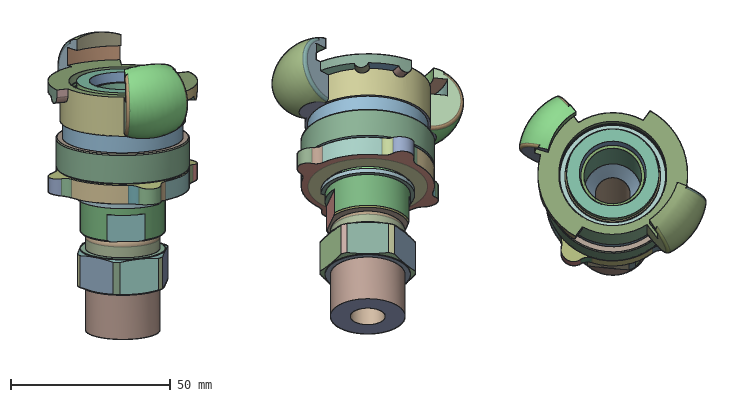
import cadquery as cq
import math

tail_dia = 23.5
nut_bottom = 15.1
nut_top = 26.4
nut_flats = 27.0
nut_corner_dia = 30.0
nut_face_dia = 26.8
nut_bevel_angle = 15
nut_washer_height = 0.3
collar_top = 32.0
collar_fillet = 1.8

body_dia = 26.8
body_chamfer = 0.5
flat_distance = 12.0
flat_top = 40.8
flat_angle = 17.5

groove_dia = tail_dia
ring_dia = 29.5
ring_bottom = 43.4
ring_top = 44.9
ring_end_y = 7.0

wheel_bottom = 46.2
wheel_top = 52.9
wheel_dia = 41.9
lobe_radius = 4.0
lobe_count = 4
wheel_face_dia = 37.5
wheel_edge_drop = 0.8

sleeve_dia = 42.0
sleeve_top = 62.7
sleeve_chamfer = 0.4
neck_dia = 38.0
head_bottom = 68.3
head_top = 81.0
head_dia = 39.6

lug_dia = 47.1
lug_thickness = 3.2
lug_end_x = 2.4
rib_dia = 4.8
rib_bottom = 76.2
rib_spacing = 35

overall_length = 91.6
claw_span = 62.9
claw_reach = claw_span / 2
claw_radius = 12.1
claw_crown_radius = 22.0
claw_side_angle = 18
claw_side_offset = 1.2
claw_edge_fillet = 1.1
claw_root_x = 17.4
claw_ridge_x = 22.7
claw_tip_bore_dia = 41.9
claw_slot_dia = 50.9
claw_slot_top = 86.8

seal_dia = 29.0
seal_base_dia = 30.0
groove_mouth_dia = 33.9
groove_base_dia = 33.2
groove_step_depth = 2.75
groove_depth = 3.7
seal_mouth_dia = 21.0
seal_seat_dia = 20.0
seal_seat_depth = 3.1
bore_dia = 18.0
funnel_top = 58.6
funnel_bottom = 54.9
through_dia = 11.0


def cylinder(dia, bottom, top):
    return cq.Workplane("XY").workplane(offset=bottom).circle(dia / 2).extrude(top - bottom)


def turned(outline):
    """Solid of revolution around Z from (radius, height) points."""
    return cq.Workplane("XZ").polyline(outline).close().revolve(360, (0, 0), (0, 1))


def bevelled_disc(face_dia, outer_dia, bottom, top, drop):
    """Disc whose two end faces slope down from face_dia to outer_dia."""
    face_r = face_dia / 2
    outer_r = outer_dia / 2
    outline = [(0, bottom), (face_r, bottom), (outer_r, bottom + drop),
               (outer_r, top - drop), (face_r, top), (0, top)]
    return turned(outline)


def with_opposite(solid):
    """The solid together with its copy half a turn around Z."""
    return solid.union(solid.rotate((0, 0, 0), (0, 0, 1), 180))


def make_tail():
    tail = cylinder(tail_dia, 0, collar_top).faces(">Z").edges().fillet(collar_fillet)
    across_corners = nut_flats / math.cos(math.radians(30))
    hexagon = (cq.Workplane("XY").workplane(offset=nut_bottom)
               .polygon(6, across_corners).extrude(nut_top - nut_bottom)
               .rotate((0, 0, 0), (0, 0, 1), 30))
    bevel_drop = (nut_corner_dia - nut_face_dia) / 2 * math.tan(math.radians(nut_bevel_angle))
    envelope = bevelled_disc(nut_face_dia, nut_corner_dia, nut_bottom, nut_top, bevel_drop)
    washer_faces = cylinder(nut_face_dia, nut_bottom - nut_washer_height, nut_top + nut_washer_height)
    return tail.union(hexagon.intersect(envelope)).union(washer_faces)


def make_body():
    body = cylinder(body_dia, collar_top, wheel_bottom).faces("<Z").chamfer(body_chamfer)
    flat_height = flat_top - collar_top
    flat = (cq.Workplane("XY")
            .box(body_dia, body_dia, flat_height, centered=(False, True, False))
            .translate((flat_distance, 0, collar_top))
            .rotate((0, 0, 0), (0, 0, 1), -flat_angle))
    body = body.cut(with_opposite(flat))
    groove = cylinder(body_dia, ring_bottom, ring_top).cut(cylinder(groove_dia, ring_bottom, ring_top))
    ring_gap = (cq.Workplane("XY")
                .box(ring_dia, ring_dia, ring_top - ring_bottom, centered=(True, False, False))
                .translate((0, ring_end_y, ring_bottom)))
    ring = cylinder(ring_dia, ring_bottom, ring_top).cut(ring_gap)
    return body.cut(groove).union(ring)


def make_wheel():
    """Disc with round lobes centred on its rim, each blended in by concave arcs."""
    wheel_r = wheel_dia / 2
    height = wheel_top - wheel_bottom
    blend_centre_r = wheel_r + lobe_radius
    blend_y = (blend_centre_r**2 + wheel_r**2 - (2 * lobe_radius)**2) / (2 * wheel_r)
    blend_x = math.sqrt(blend_centre_r**2 - blend_y**2)
    rim_x = blend_x * wheel_r / blend_centre_r
    rim_y = blend_y * wheel_r / blend_centre_r
    lobe_x = blend_x / 2
    lobe_y = (blend_y + wheel_r) / 2
    wheel = cylinder(wheel_dia, wheel_bottom, wheel_top)
    lobe = (cq.Workplane("XY").workplane(offset=wheel_bottom)
            .moveTo(0, 0).lineTo(rim_x, rim_y)
            .radiusArc((lobe_x, lobe_y), lobe_radius)
            .threePointArc((0, wheel_r + lobe_radius), (-lobe_x, lobe_y))
            .radiusArc((-rim_x, rim_y), lobe_radius)
            .close().extrude(height))
    for i in range(lobe_count):
        wheel = wheel.union(lobe.rotate((0, 0, 0), (0, 0, 1), i * 360 / lobe_count))
    outer_dia = wheel_dia + 2 * lobe_radius
    return wheel.intersect(bevelled_disc(wheel_face_dia, outer_dia, wheel_bottom, wheel_top, wheel_edge_drop))


def make_head():
    sleeve = cylinder(sleeve_dia, wheel_top, sleeve_top).faces("<Z or >Z").chamfer(sleeve_chamfer)
    neck = cylinder(neck_dia, sleeve_top, head_bottom)
    return sleeve.union(neck).union(cylinder(head_dia, head_bottom, head_top))


def make_lug():
    """Quarter flange in front of the head with two radial ribs on its underside."""
    lug_r = lug_dia / 2
    lug_bottom = head_top - lug_thickness
    rib_r = rib_dia / 2
    rib_z = rib_bottom + rib_r
    end_rib_x = lug_end_x - rib_r
    sector = (cq.Workplane("XY")
              .box(lug_r + end_rib_x, lug_r, lug_thickness, centered=False)
              .translate((-lug_r, -lug_r, lug_bottom)))
    end_block = (cq.Workplane("XY")
                 .box(lug_r + lug_end_x, lug_r, head_top - rib_z, centered=False)
                 .translate((-lug_r, -lug_r, rib_z)))
    lug = cylinder(lug_dia, lug_bottom, head_top).intersect(sector.union(end_block))
    end_rib = cq.Workplane("XZ").center(end_rib_x, rib_z).circle(rib_r).extrude(lug_dia)
    mid_rib = end_rib.rotate((0, 0, 0), (0, 0, 1), -rib_spacing)
    ribs = end_rib.union(mid_rib).intersect(cylinder(lug_dia, rib_bottom, head_top))
    return lug.union(ribs)


def make_claw():
    """Barrel-shaped hook on the +X side, between two flared side planes."""
    centre_x = claw_reach - claw_radius
    tip_r = claw_tip_bore_dia / 2
    centre_z = overall_length - math.sqrt(claw_radius**2 - (tip_r - centre_x)**2)
    half_width = claw_radius
    crown_drop = claw_crown_radius - math.sqrt(claw_crown_radius**2 - half_width**2)
    edge_x = claw_reach - crown_drop
    barrel = (cq.Workplane("XY").workplane(offset=centre_z)
              .moveTo(centre_x, -half_width).lineTo(edge_x, -half_width)
              .threePointArc((claw_reach, 0), (edge_x, half_width))
              .lineTo(centre_x, half_width).close()
              .revolve(360, (centre_x, 0), (centre_x, 1)))
    side_slope = math.tan(math.radians(claw_side_angle))
    root_y = claw_side_offset + claw_root_x * side_slope
    outer_y = claw_side_offset + claw_reach * side_slope
    wedge = (cq.Workplane("XY")
             .polyline([(claw_root_x, -root_y), (claw_reach, -outer_y),
                        (claw_reach, outer_y), (claw_root_x, root_y)])
             .close().extrude(2 * overall_length))
    sharp_claw = barrel.intersect(wedge)
    tip_zone = (cq.Workplane("XY")
                .box(claw_ridge_x, claw_reach, claw_radius, centered=(False, True, False))
                .translate((0, 0, head_top)))
    claw = sharp_claw.faces("<Y or >Y").edges("not |Z").fillet(claw_edge_fillet)
    claw = claw.union(sharp_claw.intersect(tip_zone))
    claw = claw.cut(cylinder(2 * claw_span, 0, head_bottom))
    claw = claw.cut(cylinder(claw_tip_bore_dia, head_top, 2 * overall_length))
    return claw.cut(cylinder(claw_slot_dia, head_top, claw_slot_top))


def make_seal_groove():
    """Ring groove around the seal, narrower below a step in both walls."""
    step = head_top - groove_step_depth
    bottom = head_top - groove_depth
    upper = cylinder(groove_mouth_dia, step, head_top).cut(cylinder(seal_dia, step, head_top))
    lower = cylinder(groove_base_dia, bottom, step).cut(cylinder(seal_base_dia, bottom, step))
    return upper.union(lower)


def make_bore():
    seat = head_top - seal_seat_depth
    through_r = through_dia / 2
    bore_r = bore_dia / 2
    return turned([(0, 0), (through_r, 0), (through_r, funnel_bottom), (bore_r, funnel_top),
                   (bore_r, seat), (seal_seat_dia / 2, seat), (seal_mouth_dia / 2, head_top), (0, head_top)])


result = make_tail().union(make_body()).union(make_wheel()).union(make_head())
result = result.union(with_opposite(make_lug())).union(with_opposite(make_claw()))
result = result.cut(make_seal_groove()).cut(make_bore())